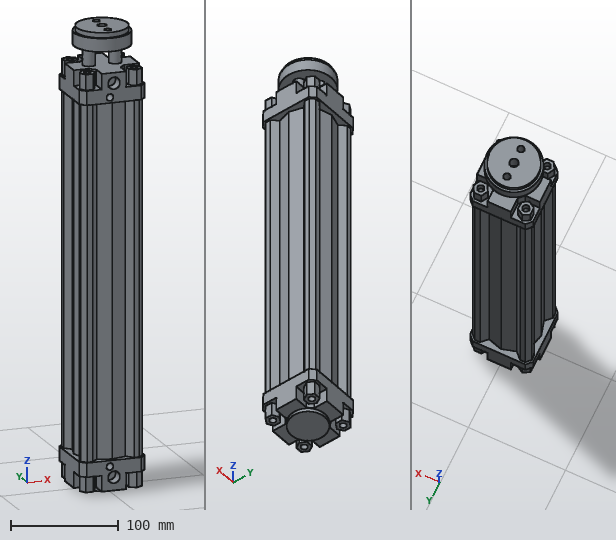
import cadquery as cq
import math

total_height = 447.0
spigot_height = 4.0
bottom_cap_height = 29.5
top_cap_base_z = 381.0
top_cap_height = 29.0
plate_base_z = 429.0
plate_step_z = 442.0
bottom_cap_top_z = spigot_height + bottom_cap_height
top_cap_top_z = top_cap_base_z + top_cap_height

cap_width = 65.0
cap_chamfer = 5.5
spigot_diameter = 40.0
top_recess_depth = 15.0
bottom_recess_depth = 15.5
recess_wall_offset = 12.0
recess_chamfer = 5.5
cap_half = cap_width / 2

nut_offset = 23.2
nut_across_flats = 13.0
nut_across_corners = nut_across_flats / math.cos(math.radians(30))
nut_hole_diameter = 6.5
nut_hole_depth = 9.0
drill_tip_angle = 118
drill_tip_height = nut_hole_diameter / 2 / math.tan(math.radians(drill_tip_angle / 2))

port_diameter = 11.5
port_depth = 11.5
top_port_z = 399.5
bottom_port_z = 17.0
screw_hole_diameter = 6.5
screw_hole_depth = 13.5
screw_hole_x = -4.0
top_screw_hole_z = 386.0
bottom_screw_hole_z = 27.5

barrel_half = 30.5
barrel_chamfer = 4.5
groove_edge_x = 20.5
groove_bottom_x = 14.5
groove_bottom_y = 24.0
crest_y = 28.0

rod_diameter = 12.0
rod_x = 13.0
plate_diameter = 55.0
plate_step_diameter = 50.0
plate_center_hole_diameter = 8.5
plate_side_hole_diameter = 6.5
plate_side_hole_y = 15.0


def cylinder(diameter, height, x, y, z):
    """Upright cylinder whose base is centred on (x, y, z)."""
    return cq.Workplane("XY", origin=(x, y, z)).circle(diameter / 2).extrude(height)


def make_barrel():
    """Solid extruded profile with two V-grooves and a shallow central crest on each side."""
    side = [
        (-(barrel_half - barrel_chamfer), -barrel_half),
        (-groove_edge_x, -barrel_half),
        (-groove_bottom_x, -groove_bottom_y),
        (0, -crest_y),
        (groove_bottom_x, -groove_bottom_y),
        (groove_edge_x, -barrel_half),
        (barrel_half - barrel_chamfer, -barrel_half),
    ]
    outline = []
    for _ in range(4):
        outline += side
        side = [(-y, x) for x, y in side]
    length = top_cap_base_z - bottom_cap_top_z
    return cq.Workplane("XY", origin=(0, 0, bottom_cap_top_z)).polyline(outline).close().extrude(length)


def make_corner_recess(depth):
    """Cutter for the (-X, -Y) corner, with a bevel across its inner edge."""
    size = cap_half - recess_wall_offset
    middle = -(recess_wall_offset + cap_half) / 2
    return (
        cq.Workplane("XY")
        .center(middle, middle)
        .rect(size, size)
        .extrude(depth)
        .edges("|Z and >X and >Y")
        .chamfer(recess_chamfer)
    )


def make_nut(height):
    """Hexagonal post in the (-X, -Y) corner with a drilled hole in its upper end."""
    nut = cq.Workplane("XY").polygon(6, nut_across_corners).extrude(height)
    radius = nut_hole_diameter / 2
    hole_floor_z = height - nut_hole_depth
    drilled_hole = (
        cq.Workplane("XZ")
        .moveTo(0, height)
        .lineTo(radius, height)
        .lineTo(radius, hole_floor_z)
        .lineTo(0, hole_floor_z - drill_tip_height)
        .close()
        .revolve(360, (0, 0), (0, 1))
    )
    return nut.cut(drilled_hole).translate((-nut_offset, -nut_offset, 0))


def make_cap(height, recess_depth):
    """End cap with its base at Z = 0 and four recessed nuts at its upper end."""
    cap = cq.Workplane("XY").rect(cap_width, cap_width).extrude(height).edges("|Z").chamfer(cap_chamfer)
    floor_z = height - recess_depth
    recess = make_corner_recess(recess_depth).translate((0, 0, floor_z))
    nut = make_nut(recess_depth).translate((0, 0, floor_z))
    for angle in (0, 90, 180, 270):
        cap = cap.cut(recess.rotate((0, 0, 0), (0, 0, 1), angle))
        cap = cap.union(nut.rotate((0, 0, 0), (0, 0, 1), angle))
    return cap


def make_bottom_cap():
    """Cap with its nuts facing down and a round spigot at its lower end."""
    cap = make_cap(bottom_cap_height, bottom_recess_depth).mirror("XY")
    cap = cap.translate((0, 0, bottom_cap_top_z))
    return cap.union(cylinder(spigot_diameter, spigot_height, 0, 0, 0))


def front_hole(diameter, depth, x, z):
    """Cutter for a blind hole in the -Y face of a cap."""
    return cq.Workplane("XZ", origin=(x, -cap_half, z)).circle(diameter / 2).extrude(-depth)


def make_housing():
    top_cap = make_cap(top_cap_height, top_recess_depth).translate((0, 0, top_cap_base_z))
    housing = make_barrel().union(make_bottom_cap()).union(top_cap)
    for z in (bottom_port_z, top_port_z):
        housing = housing.cut(front_hole(port_diameter, port_depth, 0, z))
    for z in (bottom_screw_hole_z, top_screw_hole_z):
        housing = housing.cut(front_hole(screw_hole_diameter, screw_hole_depth, screw_hole_x, z))
    return housing


def make_piston_rods():
    """Two rods standing on the top cap, joined by a stepped round plate."""
    plate_thickness = total_height - plate_base_z
    body = cylinder(plate_diameter, plate_step_z - plate_base_z, 0, 0, plate_base_z)
    body = body.union(cylinder(plate_step_diameter, plate_thickness, 0, 0, plate_base_z))
    for x in (-rod_x, rod_x):
        body = body.union(cylinder(rod_diameter, plate_base_z - top_cap_top_z, x, 0, top_cap_top_z))
    body = body.cut(cylinder(plate_center_hole_diameter, plate_thickness, 0, 0, plate_base_z))
    for y in (-plate_side_hole_y, plate_side_hole_y):
        body = body.cut(cylinder(plate_side_hole_diameter, plate_thickness, 0, y, plate_base_z))
    return body


housing = make_housing()
piston_rods = make_piston_rods()

result = cq.Compound.makeCompound([housing.val(), piston_rods.val()])